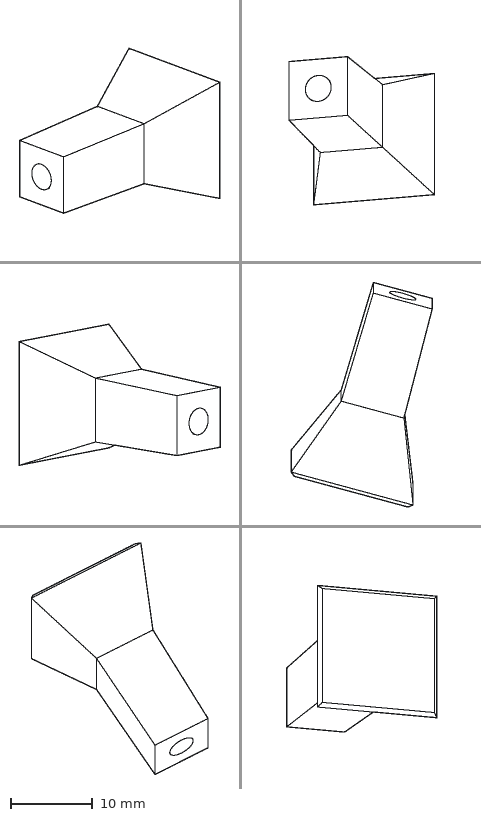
import cadquery as cq
import math

length = 24.0
head_width = 15.5

stem_length = 14.0
stem_end_width = 7.5
neck_width = 8.0

bevel = 0.5

hole_diameter = 3.3
hole_depth = 10.0
drill_point_angle = 118.0

front_y = -length / 2
neck_y = front_y + stem_length
back_y = length / 2
rim_y = back_y - bevel


def square_frustum(start_y, start_width, end_y, end_width):
    """Tapered square section between two planes normal to Y."""
    return (
        cq.Workplane("XZ", origin=(0, start_y, 0))
        .rect(start_width, start_width)
        .workplane(offset=start_y - end_y)
        .rect(end_width, end_width)
        .loft(ruled=True, combine=True)
    )


def drilled_hole():
    """Cylinder with a conical bottom, revolved about the Y axis."""
    radius = hole_diameter / 2
    shoulder_y = front_y + hole_depth
    tip_y = shoulder_y + radius / math.tan(math.radians(drill_point_angle / 2))
    return (
        cq.Workplane("XY")
        .moveTo(0, front_y)
        .lineTo(radius, front_y)
        .lineTo(radius, shoulder_y)
        .lineTo(0, tip_y)
        .close()
        .revolve(360, (0, 0, 0), (0, 1, 0))
    )


stem = square_frustum(front_y, stem_end_width, neck_y, neck_width)
flare = square_frustum(neck_y, neck_width, rim_y, head_width)
back_bevel = square_frustum(rim_y, head_width, back_y, head_width - 2 * bevel)

result = stem.union(flare).union(back_bevel).cut(drilled_hole())